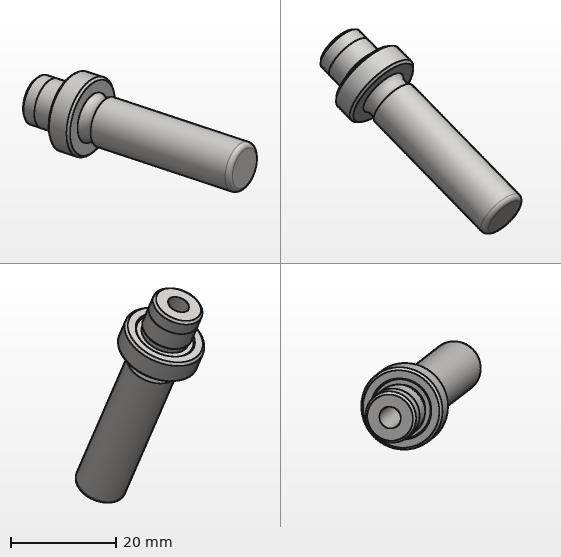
import cadquery as cq
import math

collar_start = 8.0
collar_width = 5.0
neck_width = 3.0
total_length = 48.0
collar_end = collar_start + collar_width
neck_end = collar_end + neck_width

body_radius = 5.0
collar_radius = 8.0
neck_radius = 4.5

lead_length = 3.0
lead_undersize = 0.02

chamfer = 0.5
tip_round = 1.0

relief_start = 6.9
relief_depth = 0.3
relief_run_in = 0.35
face_relief_radius = 5.95
face_relief_depth = 0.25

hole_diameter = 4.2
hole_depth = 12.0
drill_point_angle = 118.0


def turned_body():
    """Revolve the half outline of the spigot, collar, neck and shank about X."""
    lead_radius = body_radius - lead_undersize
    relief_radius = body_radius - relief_depth
    relief_floor = collar_start + face_relief_depth
    neck_middle = (collar_end + neck_end) / 2
    round_centre_x = total_length - tip_round
    round_centre_z = body_radius - tip_round
    round_mid_offset = tip_round * math.sqrt(0.5)
    outline = (
        cq.Workplane("XZ")
        .moveTo(0, 0)
        .lineTo(0, lead_radius - chamfer)
        .lineTo(chamfer, lead_radius)
        .lineTo(lead_length, lead_radius)
        .lineTo(lead_length, body_radius)
        .lineTo(relief_start, body_radius)
        .lineTo(relief_start + relief_run_in, relief_radius)
        .lineTo(relief_floor, relief_radius)
        .lineTo(relief_floor, face_relief_radius - face_relief_depth)
        .lineTo(collar_start, face_relief_radius)
        .lineTo(collar_start, collar_radius - chamfer)
        .lineTo(collar_start + chamfer, collar_radius)
        .lineTo(collar_end - chamfer, collar_radius)
        .lineTo(collar_end, collar_radius - chamfer)
        .lineTo(collar_end, body_radius)
        .threePointArc((neck_middle, neck_radius), (neck_end, body_radius))
        .lineTo(round_centre_x, body_radius)
        .threePointArc(
            (round_centre_x + round_mid_offset, round_centre_z + round_mid_offset),
            (total_length, round_centre_z),
        )
        .lineTo(total_length, 0)
        .close()
    )
    return outline.revolve(360, (0, 0, 0), (1, 0, 0))


def drilled_hole():
    """Blind drilled hole along X with a conical bottom."""
    hole_radius = hole_diameter / 2
    cone_length = hole_radius / math.tan(math.radians(drill_point_angle / 2))
    outline = (
        cq.Workplane("XZ")
        .moveTo(0, 0)
        .lineTo(0, hole_radius)
        .lineTo(hole_depth, hole_radius)
        .lineTo(hole_depth + cone_length, 0)
        .close()
    )
    return outline.revolve(360, (0, 0, 0), (1, 0, 0))


result = turned_body().cut(drilled_hole())